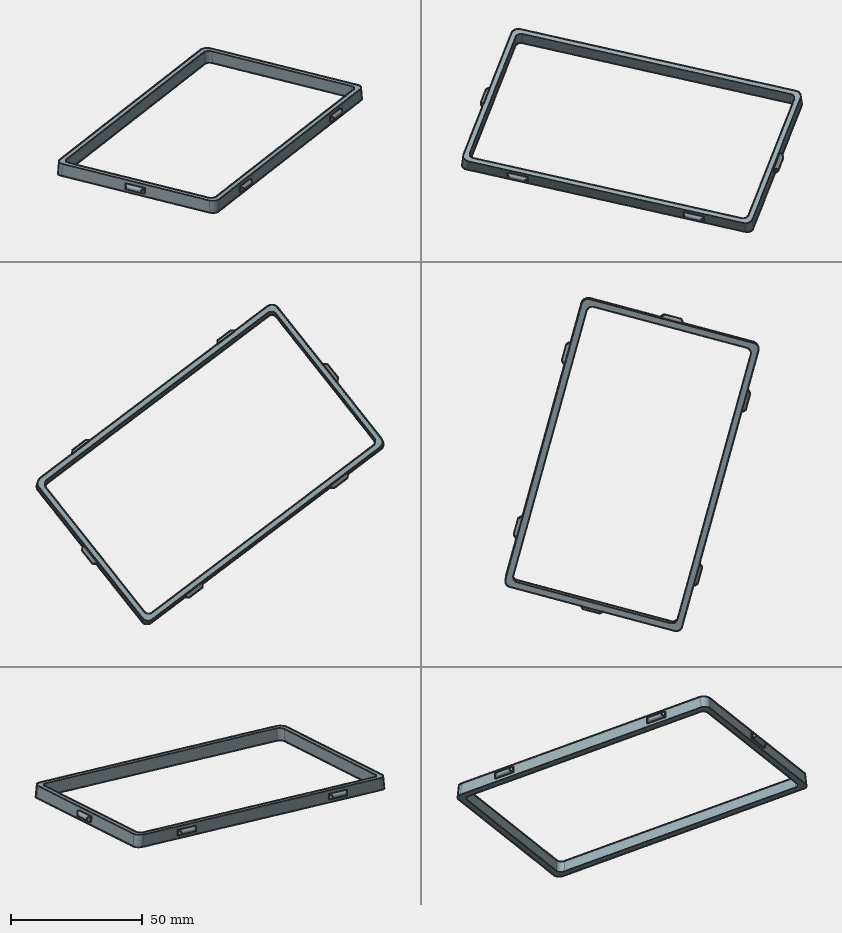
import cadquery as cq

height = 5.0
width = 69.5
base_length = 115.1
top_length = 114.4
base_corner_radius = 2.4
top_corner_radius = 2.8

base_opening_width = 64.4
top_opening_width = 65.1
opening_length = 110.2
opening_radius = 2.1

overall_width = 72.4
overall_length = 118.0
tab_length = 8.3
tab_height = 2.1
tab_embed = 1.2
tab_end_chamfer = 1.0
side_tab_spacing = 69.6
tab_z = height / 2


def rounded_rectangle(size_x, size_y, radius):
    return cq.Sketch().rect(size_x, size_y).vertices().fillet(radius)


def tapered_block(base, top):
    """Loft from the base outline at Z = 0 to the top outline."""
    raised_top = top.moved(cq.Location(cq.Vector(0, 0, height)))
    return cq.Workplane("XY").placeSketch(base, raised_top).loft()


def make_tab(tip_x, wall_x):
    """Round-nosed tab pointing along +X, with both ends bevelled at the tip."""
    root_x = wall_x - tab_embed
    nose_x = tip_x - tab_height / 2
    bottom_z = tab_z - tab_height / 2
    top_z = tab_z + tab_height / 2
    half_length = tab_length / 2
    bar = (
        cq.Workplane("XZ")
        .moveTo(root_x, bottom_z)
        .lineTo(nose_x, bottom_z)
        .threePointArc((tip_x, tab_z), (nose_x, top_z))
        .lineTo(root_x, top_z)
        .close()
        .extrude(half_length, both=True)
    )
    bevelled_outline = (
        cq.Workplane("XY")
        .polyline([
            (root_x, -half_length),
            (tip_x - tab_end_chamfer, -half_length),
            (tip_x, -half_length + tab_end_chamfer),
            (tip_x, half_length - tab_end_chamfer),
            (tip_x - tab_end_chamfer, half_length),
            (root_x, half_length),
        ])
        .close()
        .extrude(height)
    )
    return bar.intersect(bevelled_outline)


def turn(shape, angle):
    return shape.rotate((0, 0, 0), (0, 0, 1), angle)


frame = tapered_block(
    rounded_rectangle(width, base_length, base_corner_radius),
    rounded_rectangle(width, top_length, top_corner_radius),
)
opening = tapered_block(
    rounded_rectangle(base_opening_width, opening_length, opening_radius),
    rounded_rectangle(top_opening_width, opening_length, opening_radius),
)
result = frame.cut(opening)

side_tab = make_tab(overall_width / 2, width / 2)
for facing in (0, 180):
    for tab_y in (-side_tab_spacing / 2, side_tab_spacing / 2):
        result = result.union(turn(side_tab, facing).translate((0, tab_y, 0)))

end_tab = make_tab(overall_length / 2, top_length / 2)
for facing in (90, 270):
    result = result.union(turn(end_tab, facing))